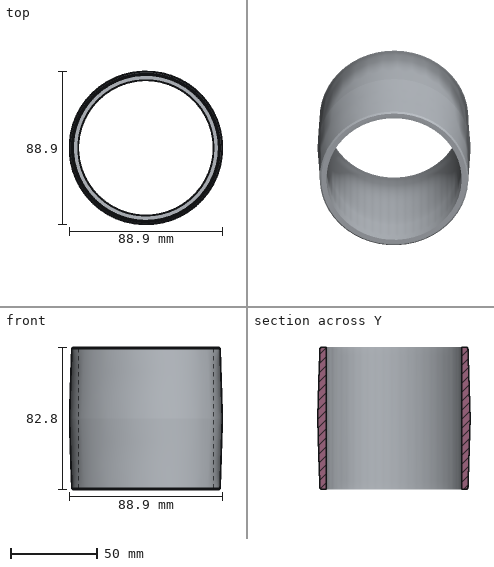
import cadquery as cq

height = 82.8
middle_diameter = 88.9
end_diameter = 86.3
bore_diameter = 78.5
end_chamfer = 0.9

half_height = height / 2
middle_radius = middle_diameter / 2
end_radius = end_diameter / 2
bore_radius = bore_diameter / 2
rim_radius = end_radius - end_chamfer
taper_end = half_height - end_chamfer

result = (
    cq.Workplane("XZ")
    .moveTo(bore_radius, -half_height)
    .lineTo(rim_radius, -half_height)
    .lineTo(end_radius, -taper_end)
    .lineTo(middle_radius, 0)
    .lineTo(end_radius, taper_end)
    .lineTo(rim_radius, half_height)
    .lineTo(bore_radius, half_height)
    .close()
    .revolve(360, (0, 0, 0), (0, 1, 0))
)